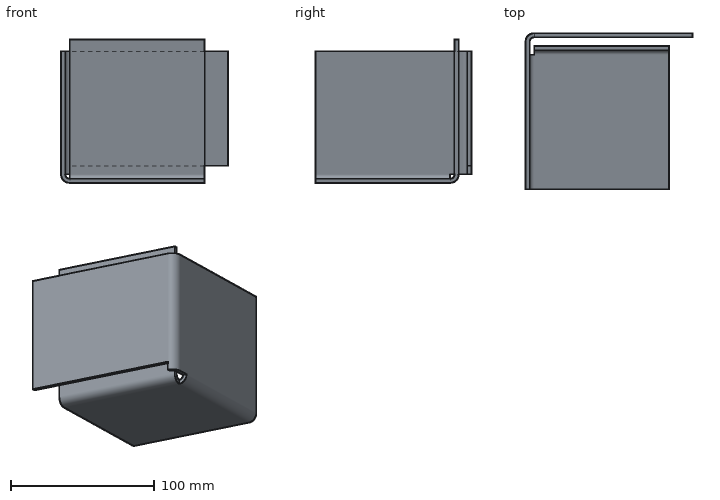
import cadquery as cq

length = 116.5
depth = 109.0
height = 100.0

sheet = 3.0
inner_radius = 3.0
bend = sheet + inner_radius

floor_right = 100.1
inner_back = 100.0
wall_top = 92.0
back_bottom = 12.0


def block(x_range, y_range, z_range):
    """Box between the given limits along each axis."""
    (x0, x1), (y0, y1), (z0, z1) = x_range, y_range, z_range
    return cq.Workplane("XY").box(x1 - x0, y1 - y0, z1 - z0, centered=False).translate((x0, y0, z0))


def bend_strip(plane, center, quadrant, width):
    """Quarter-round bend on a plane, swept along its normal by width."""
    ring = cq.Workplane(plane).center(*center).circle(bend).circle(inner_radius).extrude(width)
    side_u, side_v = quadrant
    corner = (
        cq.Workplane(plane)
        .center(center[0] + side_u * bend / 2, center[1] + side_v * bend / 2)
        .rect(bend, bend)
        .extrude(width)
    )
    return ring.intersect(corner)


inner_front = inner_back - bend
back_front = depth - bend
floor = block((bend, floor_right), (0, inner_front), (0, sheet))
side_wall = block((0, sheet), (0, back_front), (bend, wall_top))
inner_flange = block((bend, floor_right), (inner_back - sheet, inner_back), (bend, height))
back_flange = block((bend, length), (depth - sheet, depth), (back_bottom, wall_top))

floor_to_wall = bend_strip("XZ", (bend, bend), (-1, -1), -inner_front)
floor_to_inner = bend_strip("YZ", (inner_front, bend), (1, -1), floor_right - bend).translate((bend, 0, 0))
wall_to_back = bend_strip("XY", (bend, back_front), (-1, 1), wall_top - bend).translate((0, 0, bend))

result = (
    floor.union(floor_to_wall)
    .union(side_wall)
    .union(floor_to_inner)
    .union(inner_flange)
    .union(wall_to_back)
    .union(back_flange)
)